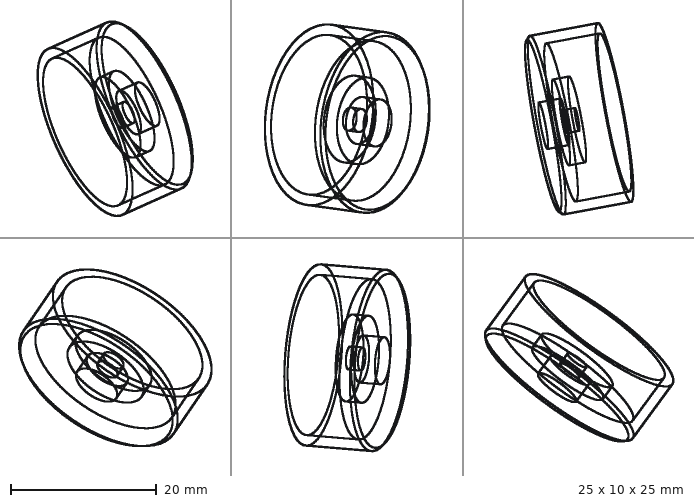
import cadquery as cq

outer_diameter = 25.0
depth = 10.0
cavity_diameter = 22.1
floor_thickness = 2.5
boss_diameter = 12.0
boss_height = 2.25
hole_diameter = 3.2
recess_diameter = 6.5
recess_depth = 3.0
rim_chamfer = 0.5

back_y = depth / 2
floor_y = back_y - floor_thickness


def cylinder(diameter, start_y, length):
    """Cylinder on the Y axis, running from start_y toward -Y."""
    return cq.Workplane("XZ", origin=(0, start_y, 0)).circle(diameter / 2).extrude(length)


body = cylinder(outer_diameter, back_y, depth).faces(">Y").edges().chamfer(rim_chamfer)
cavity = cylinder(cavity_diameter, floor_y, depth - floor_thickness)

boss = cylinder(boss_diameter, floor_y, boss_height)
hole = cylinder(hole_diameter, back_y, depth)

recess = cylinder(recess_diameter, back_y, recess_depth)

result = body.cut(cavity).union(boss).cut(hole).cut(recess)